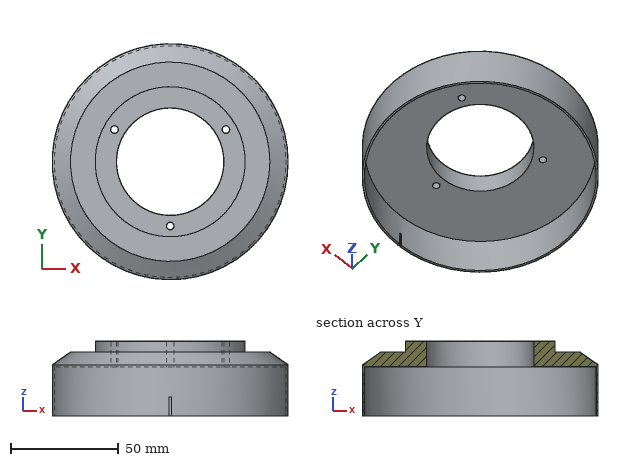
import cadquery as cq

total_height = 35.0
shoulder_height = 30.0
side_height = 24.0
cavity_height = 23.0

outer_diameter = 110.14
shoulder_diameter = 93.0
collar_diameter = 70.0
bore_diameter = 50.0
wall_thickness = 1.0
cavity_diameter = outer_diameter - 2 * wall_thickness

hole_count = 3
hole_diameter = 3.4
hole_circle_diameter = (collar_diameter + bore_diameter) / 2
first_hole_angle = -90.0

notch_width = 1.0
notch_height = 9.0


def make_body():
    """Revolve the stepped cap, with its bore and its wide cavity, about Z."""
    outer_radius = outer_diameter / 2
    shoulder_radius = shoulder_diameter / 2
    collar_radius = collar_diameter / 2
    bore_radius = bore_diameter / 2
    cavity_radius = cavity_diameter / 2
    section = [
        (cavity_radius, 0),
        (outer_radius, 0),
        (outer_radius, side_height),
        (shoulder_radius, shoulder_height),
        (collar_radius, shoulder_height),
        (collar_radius, total_height),
        (bore_radius, total_height),
        (bore_radius, cavity_height),
        (cavity_radius, cavity_height),
    ]
    return cq.Workplane("XZ").polyline(section).close().revolve(360, (0, 0, 0), (0, 1, 0))


def make_screw_holes():
    """Through holes evenly spaced around the collar."""
    return (
        cq.Workplane("XY")
        .polarArray(hole_circle_diameter / 2, first_hole_angle, 360, hole_count)
        .circle(hole_diameter / 2)
        .extrude(total_height)
    )


def make_notch():
    """Slot rising from the bottom rim through the skirt wall."""
    cut_depth = 4 * wall_thickness
    return (
        cq.Workplane("XY")
        .center(0, -outer_diameter / 2)
        .rect(notch_width, cut_depth)
        .extrude(notch_height)
    )


result = make_body().cut(make_screw_holes()).cut(make_notch())